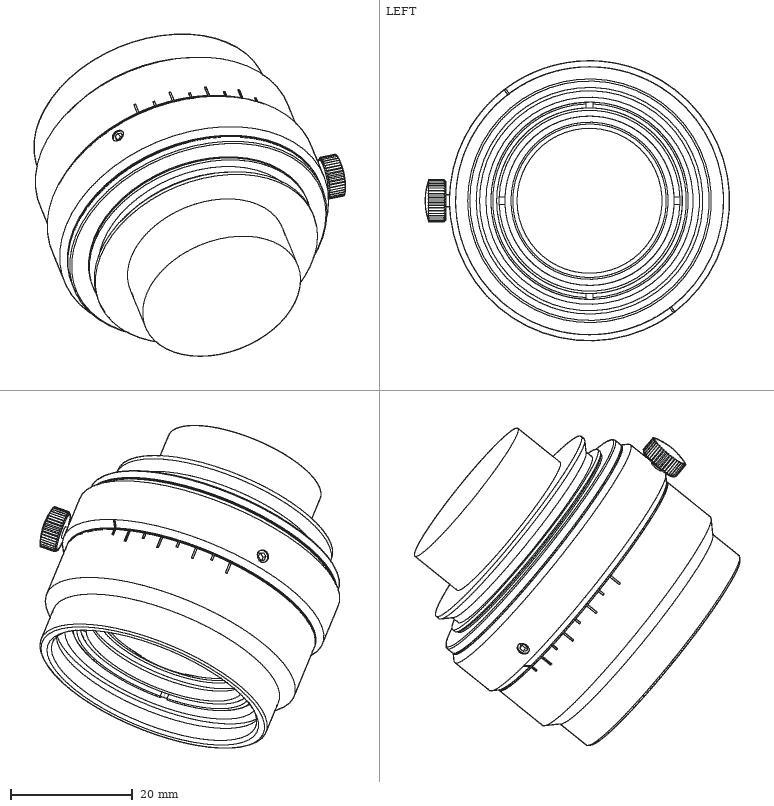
import cadquery as cq
import math

TOTAL_LENGTH = 42.02
CUT_MARGIN = 1.0

FRONT_RADIUS = 20.0
BARREL_RADIUS = 22.0
RING_RADIUS = 23.0
RELIEF_RADIUS = 43.64 / 2
MOUNT_RADIUS = 19.0
MOUNT_NECK_RADIUS = 17.5
TUBE_RADIUS = 13.5

FRONT_CHAMFER = 0.35
FRONT_END = 6.05
BARREL_START = FRONT_END + (BARREL_RADIUS - FRONT_RADIUS)
BARREL_END = 17.25
RELIEF_WIDTH = 0.25
RING_START = BARREL_END + RELIEF_WIDTH
RING_CHAMFER = RING_RADIUS - BARREL_RADIUS
RING_END = 26.85
COLLAR_START = RING_END + RELIEF_WIDTH
COLLAR_END = 28.55
COLLAR_CHAMFER = 0.25
FLANGE_START = 29.05
FLANGE_CHAMFER = 0.25
FLANGE_END = 29.55
NECK_END = 30.9
DOVETAIL_END = NECK_END + (MOUNT_RADIUS - MOUNT_NECK_RADIUS)
MOUNT_END = 33.05

THREAD_RADIUS = 18.05
THREAD_CHAMFER = 0.55
THREAD_END = 2.85
UNDERCUT_RADIUS = 18.55
UNDERCUT_END = 4.0
INNER_BORE_RADIUS = 17.0
INNER_BORE_FLOOR = 7.5
OUTER_RETAINER_FACE = 4.95
OUTER_RETAINER_RADIUS = 16.2
OUTER_RETAINER_CHAMFER = 0.3
OUTER_RETAINER_BORE_RADIUS = 15.25
RETAINER_GAP_END = 6.5
INNER_RETAINER_FACE = 5.6
INNER_RETAINER_RADIUS = 29.7 / 2
INNER_RETAINER_BORE_RADIUS = 27.8 / 2
INNER_RETAINER_END = 7.5
LENS_SEAT_RADIUS = 14.5
LENS_SEAT_FACE = 8.3
LENS_BEVEL_OUTER_RADIUS = 12.9
LENS_BEVEL_INNER_RADIUS = 25.2 / 2
LENS_RIM = 8.75
LENS_RADIUS = 23.8 / 2
LENS_SAG = 3.0
SPANNER_SLOT_WIDTH = 1.2
SPANNER_SLOT_DEPTH = 1.0

SCREW_X = 20.55
SET_SCREW_ANGLES = (120, 240)
SET_SCREW_RADIUS = 2.05 / 2
SET_SCREW_RECESS = 0.3
HEX_ACROSS_CORNERS = 1.4
HEX_DEPTH = 1.0

THUMB_TIP = 27.0
KNOB_BOTTOM = 23.55
KNOB_RADIUS = 3.5
KNOB_DOME_HEIGHT = 0.62
KNOB_CHAMFER = 0.35
KNURL_COUNT = 40
KNURL_DEPTH = 0.3
STEM_RADIUS = 1.0
STEM_EMBED = 2.0

MARK_COUNT = 8
MARK_STEP = 8.0
FIRST_MARK_ANGLE = 52.8
MARK_WIDTH = 0.3
MARK_DEPTH = 0.1
SHORT_MARK = 1.0
LONG_MARK = 2.0
SCALE_ANGLES = (0, 180)


def make_barrel():
    """Solid of revolution bounded by the outside of the lens."""
    outline = [
        (0, 0),
        (0, FRONT_RADIUS - FRONT_CHAMFER),
        (FRONT_CHAMFER, FRONT_RADIUS),
        (FRONT_END, FRONT_RADIUS),
        (BARREL_START, BARREL_RADIUS),
        (BARREL_END, BARREL_RADIUS),
        (BARREL_END, RELIEF_RADIUS),
        (RING_START, RELIEF_RADIUS),
        (RING_START, BARREL_RADIUS),
        (RING_START + RING_CHAMFER, RING_RADIUS),
        (RING_END - RING_CHAMFER, RING_RADIUS),
        (RING_END, BARREL_RADIUS),
        (RING_END, RELIEF_RADIUS),
        (COLLAR_START, RELIEF_RADIUS),
        (COLLAR_START, BARREL_RADIUS),
        (COLLAR_END - COLLAR_CHAMFER, BARREL_RADIUS),
        (COLLAR_END, BARREL_RADIUS - COLLAR_CHAMFER),
        (COLLAR_END, MOUNT_RADIUS - FLANGE_CHAMFER),
        (FLANGE_START - FLANGE_CHAMFER, MOUNT_RADIUS - FLANGE_CHAMFER),
        (FLANGE_START, MOUNT_RADIUS),
        (FLANGE_END, MOUNT_RADIUS),
        (FLANGE_END, MOUNT_NECK_RADIUS),
        (NECK_END, MOUNT_NECK_RADIUS),
        (DOVETAIL_END, MOUNT_RADIUS),
        (MOUNT_END, MOUNT_RADIUS),
        (MOUNT_END, TUBE_RADIUS),
        (TOTAL_LENGTH, TUBE_RADIUS),
        (TOTAL_LENGTH, 0),
    ]
    return cq.Workplane("XY").polyline(outline).close().revolve(360, (0, 0, 0), (1, 0, 0))


def make_front_recess():
    """Space in front of the lens, ending on the lens dome and the retaining rings."""
    retainer_shoulder = OUTER_RETAINER_FACE + OUTER_RETAINER_CHAMFER
    retainer_crest = OUTER_RETAINER_RADIUS - OUTER_RETAINER_CHAMFER
    gap_bevel_start = RETAINER_GAP_END - (OUTER_RETAINER_BORE_RADIUS - INNER_RETAINER_RADIUS)
    lens_bevel_start = LENS_RIM - (LENS_BEVEL_OUTER_RADIUS - LENS_BEVEL_INNER_RADIUS)
    dome_radius = (LENS_RADIUS**2 + LENS_SAG**2) / (2 * LENS_SAG)
    dome_tip = LENS_RIM - LENS_SAG
    dome_mid_radius = LENS_RADIUS / 2
    dome_mid_x = dome_tip + dome_radius - math.sqrt(dome_radius**2 - dome_mid_radius**2)
    wall = [
        (0, THREAD_RADIUS + THREAD_CHAMFER),
        (THREAD_CHAMFER, THREAD_RADIUS),
        (THREAD_END, THREAD_RADIUS),
        (THREAD_END, UNDERCUT_RADIUS),
        (UNDERCUT_END, UNDERCUT_RADIUS),
        (UNDERCUT_END, INNER_BORE_RADIUS),
        (INNER_BORE_FLOOR, INNER_BORE_RADIUS),
        (INNER_BORE_FLOOR, OUTER_RETAINER_RADIUS),
        (retainer_shoulder, OUTER_RETAINER_RADIUS),
        (OUTER_RETAINER_FACE, retainer_crest),
        (OUTER_RETAINER_FACE, OUTER_RETAINER_BORE_RADIUS),
        (gap_bevel_start, OUTER_RETAINER_BORE_RADIUS),
        (RETAINER_GAP_END, INNER_RETAINER_RADIUS),
        (INNER_RETAINER_FACE, INNER_RETAINER_RADIUS),
        (INNER_RETAINER_FACE, INNER_RETAINER_BORE_RADIUS),
        (INNER_RETAINER_END, INNER_RETAINER_BORE_RADIUS),
        (INNER_RETAINER_END, LENS_SEAT_RADIUS),
        (LENS_SEAT_FACE, LENS_SEAT_RADIUS),
        (lens_bevel_start, LENS_BEVEL_OUTER_RADIUS),
        (LENS_RIM, LENS_BEVEL_INNER_RADIUS),
        (LENS_RIM, LENS_RADIUS),
    ]
    section = cq.Workplane("XY").polyline([(0, 0)] + wall)
    section = section.threePointArc((dome_mid_x, dome_mid_radius), (dome_tip, 0)).close()
    return section.revolve(360, (0, 0, 0), (1, 0, 0))


def make_spanner_slots():
    """Slots across the retaining rings: the outer ring along Z, the inner ring along Y."""
    def slot_pair(face_x, inner_radius, outer_radius):
        radial_length = outer_radius - inner_radius
        mid_radius = (outer_radius + inner_radius) / 2
        slot = cq.Workplane("XY").box(
            SPANNER_SLOT_DEPTH, radial_length, SPANNER_SLOT_WIDTH, centered=(False, True, True)
        )
        upper = slot.translate((face_x, mid_radius, 0))
        lower = slot.translate((face_x, -mid_radius, 0))
        return upper.union(lower)

    outer_pair = slot_pair(OUTER_RETAINER_FACE, OUTER_RETAINER_BORE_RADIUS, OUTER_RETAINER_RADIUS)
    inner_pair = slot_pair(INNER_RETAINER_FACE, INNER_RETAINER_BORE_RADIUS, INNER_RETAINER_RADIUS)
    return outer_pair.rotate((0, 0, 0), (1, 0, 0), 90).union(inner_pair)


def make_set_screw_recess(angle):
    """Sunk set screw: a round recess with a hexagon socket, pointing out at the given angle."""
    plane = cq.Plane(origin=(SCREW_X, RING_RADIUS - SET_SCREW_RECESS, 0), xDir=(1, 0, 0), normal=(0, 1, 0))
    recess = cq.Workplane(plane).circle(SET_SCREW_RADIUS).extrude(SET_SCREW_RECESS + CUT_MARGIN)
    socket = cq.Workplane(plane).polygon(6, HEX_ACROSS_CORNERS).extrude(-HEX_DEPTH)
    return recess.union(socket).rotate((0, 0, 0), (1, 0, 0), angle)


def make_thumb_screw():
    """Knurled, domed knob on a stem along +Y."""
    dome_start = THUMB_TIP - KNOB_DOME_HEIGHT
    dome_radius = (KNOB_RADIUS**2 + KNOB_DOME_HEIGHT**2) / (2 * KNOB_DOME_HEIGHT)
    mid_radius = KNOB_RADIUS / 2
    mid_y = THUMB_TIP - dome_radius + math.sqrt(dome_radius**2 - mid_radius**2)
    blank = (
        cq.Workplane("XY")
        .moveTo(0, KNOB_BOTTOM)
        .lineTo(KNOB_RADIUS - KNOB_CHAMFER, KNOB_BOTTOM)
        .lineTo(KNOB_RADIUS, KNOB_BOTTOM + KNOB_CHAMFER)
        .lineTo(KNOB_RADIUS, dome_start)
        .threePointArc((mid_radius, mid_y), (0, THUMB_TIP))
        .close()
        .revolve(360, (0, 0, 0), (0, 1, 0))
    )

    knurl_outline = []
    for corner in range(2 * KNURL_COUNT):
        radius = KNOB_RADIUS - KNURL_DEPTH * (corner % 2)
        angle = math.pi * corner / KNURL_COUNT
        knurl_outline.append((radius * math.cos(angle), radius * math.sin(angle)))
    knob_plane = cq.Plane(origin=(0, KNOB_BOTTOM, 0), xDir=(1, 0, 0), normal=(0, 1, 0))
    knurl = cq.Workplane(knob_plane).polyline(knurl_outline).close().extrude(THUMB_TIP - KNOB_BOTTOM)

    stem_length = KNOB_BOTTOM - RING_RADIUS + STEM_EMBED
    stem = cq.Workplane(knob_plane).circle(STEM_RADIUS).extrude(-stem_length)
    return blank.intersect(knurl).union(stem).translate((SCREW_X, 0, 0))


def make_scale_marks():
    """Engraved lines of both aperture scales, alternately short and long."""
    marks = cq.Workplane("XY")
    for scale_angle in SCALE_ANGLES:
        for index in range(MARK_COUNT):
            length = LONG_MARK if index % 2 else SHORT_MARK
            mark = cq.Workplane("XY").box(
                length, MARK_DEPTH + CUT_MARGIN, MARK_WIDTH, centered=(False, False, True)
            )
            mark = mark.translate((BARREL_END - length, BARREL_RADIUS - MARK_DEPTH, 0))
            angle = scale_angle + FIRST_MARK_ANGLE + index * MARK_STEP
            marks = marks.add(mark.rotate((0, 0, 0), (1, 0, 0), angle))
    return marks


def make_index_marks():
    """Engraved index lines on the front cone of the iris ring, in line with each first mark."""
    cone_end = RING_START + RING_CHAMFER
    section = [
        (RING_START, BARREL_RADIUS - MARK_DEPTH),
        (cone_end, RING_RADIUS - MARK_DEPTH),
        (cone_end, RING_RADIUS + CUT_MARGIN),
        (RING_START, RING_RADIUS + CUT_MARGIN),
    ]
    line = cq.Workplane("XY").polyline(section).close().extrude(MARK_WIDTH / 2, both=True)
    marks = cq.Workplane("XY")
    for scale_angle in SCALE_ANGLES:
        marks = marks.add(line.rotate((0, 0, 0), (1, 0, 0), scale_angle + FIRST_MARK_ANGLE))
    return marks


result = make_barrel().cut(make_front_recess()).cut(make_spanner_slots())
for screw_angle in SET_SCREW_ANGLES:
    result = result.cut(make_set_screw_recess(screw_angle))
for engraving in make_scale_marks().vals() + make_index_marks().vals():
    result = result.cut(cq.Workplane(engraving))
result = result.union(make_thumb_screw())